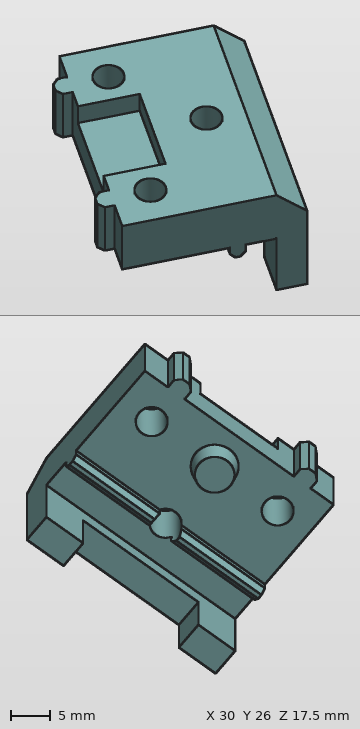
import cadquery as cq

width = 30.0
plate_depth = 24.0
plate_height = 8.0
back_chamfer = 4.0

total_height = 17.5
wall_thickness = 4.0
opening_width = 18.3
opening_top_below_plate = 2.8

front_tongue_length = 2.0
bottom_tongue_length = 1.95
front_tongue_width = 2.67
front_tongue_tip = 1.05
front_tongue_straight = 1.25
bottom_tongue_width = 2.07
bottom_tongue_tip = 0.65
bottom_tongue_straight = 1.15
bottom_tongue_y = 15.0

hole_diameter = 4.0
hole_spacing = 20.0
front_hole_y = 5.0

pocket_width = 12.3
pocket_length = 8.0
pocket_depth = 3.1

pin_base_diameter = 6.0
pin_tip_diameter = 4.95
pin_height = 2.5

side_positions = (-hole_spacing / 2, hole_spacing / 2)
wall_drop = total_height - plate_height
wall_front_y = plate_depth - wall_thickness


def tongue_points(center, base_width, tip_width, straight, length):
    """Outline of a tongue pointing down from the first axis, with a chamfered tip."""
    half_base = base_width / 2
    half_tip = tip_width / 2
    return [
        (center - half_base, 0),
        (center - half_base, -straight),
        (center - half_tip, -length),
        (center + half_tip, -length),
        (center + half_base, -straight),
        (center + half_base, 0),
    ]


def make_body():
    """L-shaped side profile extruded across the full width."""
    profile = [
        (0, 0),
        (0, plate_height),
        (plate_depth - back_chamfer, plate_height),
        (plate_depth, plate_height - back_chamfer),
        (plate_depth, -wall_drop),
        (wall_front_y, -wall_drop),
        (wall_front_y, 0),
    ]
    return cq.Workplane("YZ").polyline(profile).close().extrude(width / 2, both=True)


def make_leg_opening():
    """Block that separates the two legs of the back wall."""
    return (
        cq.Workplane("XY", origin=(0, plate_depth - wall_thickness / 2, -wall_drop))
        .rect(opening_width, wall_thickness)
        .extrude(wall_drop - opening_top_below_plate)
    )


def make_front_tongue(x):
    """Vertical tongue on the front face, as tall as the plate."""
    points = tongue_points(
        x, front_tongue_width, front_tongue_tip, front_tongue_straight, front_tongue_length
    )
    return cq.Workplane("XY").polyline(points).close().extrude(plate_height)


def make_bottom_tongue():
    """Tongue running across the whole underside."""
    points = tongue_points(
        bottom_tongue_y,
        bottom_tongue_width,
        bottom_tongue_tip,
        bottom_tongue_straight,
        bottom_tongue_length,
    )
    return cq.Workplane("YZ").polyline(points).close().extrude(width / 2, both=True)


def make_pin():
    """Conical pin hanging from the underside, in line with the front holes."""
    return (
        cq.Workplane("XY", origin=(0, front_hole_y, 0))
        .circle(pin_base_diameter / 2)
        .workplane(offset=-pin_height)
        .circle(pin_tip_diameter / 2)
        .loft()
    )


def make_pocket():
    """Rectangular pocket, open at the top and the front."""
    return (
        cq.Workplane("XY", origin=(0, pocket_length / 2, plate_height - pocket_depth))
        .rect(pocket_width, pocket_length)
        .extrude(pocket_depth)
    )


def make_holes():
    """Two holes near the front and one through the bottom tongue."""
    centers = [(x, front_hole_y) for x in side_positions] + [(0, bottom_tongue_y)]
    return (
        cq.Workplane("XY", origin=(0, 0, -bottom_tongue_length))
        .pushPoints(centers)
        .circle(hole_diameter / 2)
        .extrude(plate_height + bottom_tongue_length)
    )


result = make_body().cut(make_leg_opening())
for tongue_x in side_positions:
    result = result.union(make_front_tongue(tongue_x))
result = result.union(make_bottom_tongue()).union(make_pin())
result = result.cut(make_pocket()).cut(make_holes())